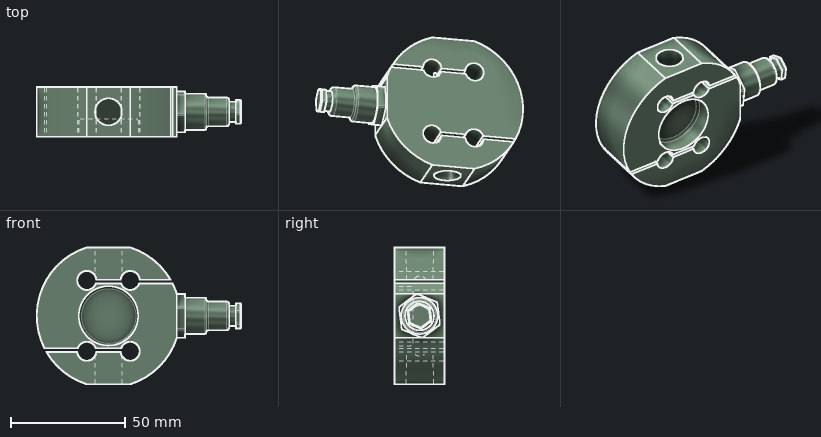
import cadquery as cq
import math

disc_radius = 31.5
thickness = 22.0
flat_height = 60.0
connector_flat_x = 30.0

relief_radius = 4.1
relief_x = 9.5
relief_z = 15.5
slot_width = 1.5
slot_z = 15.0

pocket_radius = 13.0
pocket_depth = 8.0
pocket_floor_fillet = 1.1

load_hole_radius = 5.9
load_hole_bottom_z = slot_z

overall_length = 89.75
connector_end_x = overall_length - disc_radius
nut_length = 3.6
nut_across_flats = 17.0
sleeve_radius = 8.0
shoulder_x = 42.9
shoulder_fillet = 0.8
barrel_radius = 6.4
barrel_end_x = 52.95
barrel_end_fillet = 1.35
neck_radius = 4.5
neck_fillet = 0.2
cap_length = 2.4
cap_across_flats = 10.0
cap_chamfer = 0.49
hex_corner_fillet = 0.7
hex_turn = 22.8


def block_blank():
    """Disc with flats on the top, the bottom and the connector side."""
    disc = cq.Workplane("XZ").circle(disc_radius).extrude(thickness / 2, both=True)
    width = disc_radius + connector_flat_x
    envelope = (
        cq.Workplane("XY")
        .box(width, thickness, flat_height)
        .translate((connector_flat_x - width / 2, 0, 0))
    )
    return disc.intersect(envelope)


def relief_holes():
    centres = [(x, z) for x in (-relief_x, relief_x) for z in (-relief_z, relief_z)]
    return cq.Workplane("XZ").pushPoints(centres).circle(relief_radius).extrude(thickness, both=True)


def slot(side):
    """Slot from one relief hole out through the far edge; side is +1 above the axis, -1 below."""
    length = relief_x + disc_radius
    centre_x = side * (length / 2 - relief_x)
    return cq.Workplane("XY").box(length, thickness, slot_width).translate((centre_x, 0, side * slot_z))


def gauge_pocket():
    """Round blind pocket in the -Y face with a filleted floor."""
    return (
        cq.Workplane("XZ", origin=(0, -thickness / 2, 0))
        .circle(pocket_radius)
        .extrude(-pocket_depth)
        .faces(">Y")
        .edges()
        .fillet(pocket_floor_fillet)
    )


def load_hole(side):
    depth = flat_height / 2 - load_hole_bottom_z
    return (
        cq.Workplane("XY", origin=(0, 0, side * load_hole_bottom_z))
        .circle(load_hole_radius)
        .extrude(side * depth)
    )


def make_block():
    block = block_blank().cut(relief_holes()).cut(gauge_pocket())
    for side in (1, -1):
        block = block.cut(slot(side)).cut(load_hole(side))
    return block


def hex_prism(start_x, length, across_flats):
    """Hexagonal prism along X with rounded corners."""
    across_corners = across_flats / math.cos(math.radians(30))
    return (
        cq.Workplane("YZ", origin=(start_x, 0, 0))
        .polygon(6, across_corners)
        .extrude(length)
        .edges("|X")
        .fillet(hex_corner_fillet)
        .rotate((0, 0, 0), (1, 0, 0), -hex_turn)
    )


def connector_core(cap_start_x):
    """Turned sleeve, barrel and neck with their rounded steps."""
    quarter = math.sqrt(0.5)
    arc_near = 1 - quarter
    shoulder_radius = (sleeve_radius + barrel_radius) / 2
    barrel_arc_x = barrel_end_x - barrel_end_fillet
    return (
        cq.Workplane("XY")
        .moveTo(connector_flat_x, 0)
        .lineTo(connector_flat_x, sleeve_radius)
        .lineTo(shoulder_x - shoulder_fillet, sleeve_radius)
        .threePointArc(
            (shoulder_x - arc_near * shoulder_fillet, sleeve_radius - arc_near * shoulder_fillet),
            (shoulder_x, shoulder_radius),
        )
        .threePointArc(
            (shoulder_x + arc_near * shoulder_fillet, barrel_radius + arc_near * shoulder_fillet),
            (shoulder_x + shoulder_fillet, barrel_radius),
        )
        .lineTo(barrel_arc_x, barrel_radius)
        .threePointArc(
            (barrel_end_x - arc_near * barrel_end_fillet, barrel_radius - arc_near * barrel_end_fillet),
            (barrel_end_x, barrel_radius - barrel_end_fillet),
        )
        .lineTo(barrel_end_x, neck_radius)
        .lineTo(cap_start_x - neck_fillet, neck_radius)
        .threePointArc(
            (cap_start_x - arc_near * neck_fillet, neck_radius + arc_near * neck_fillet),
            (cap_start_x, neck_radius + neck_fillet),
        )
        .lineTo(cap_start_x, 0)
        .close()
        .revolve(360, (0, 0, 0), (1, 0, 0))
    )


def make_connector():
    cap_start_x = connector_end_x - cap_length
    nut = hex_prism(connector_flat_x, nut_length, nut_across_flats)
    cap = hex_prism(cap_start_x, cap_length, cap_across_flats).faces(">X").chamfer(cap_chamfer)
    return connector_core(cap_start_x).union(nut).union(cap)


block = make_block()
connector = make_connector()
result = cq.Compound.makeCompound([block.val(), connector.val()])